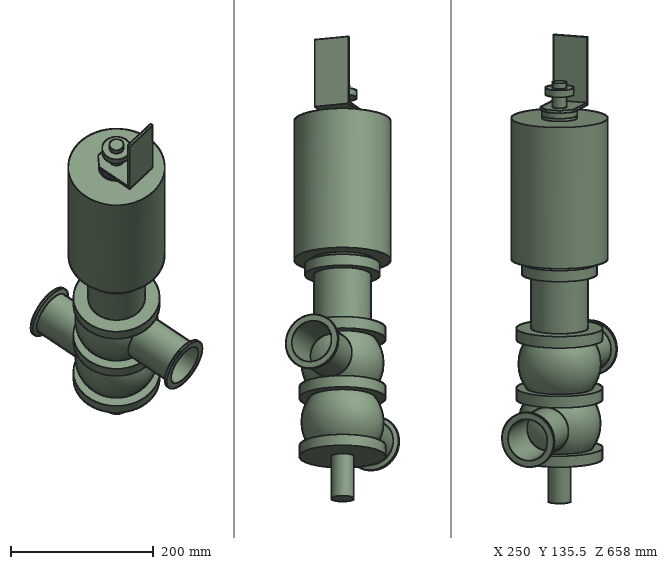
import cadquery as cq
import math

LOWER_FLANGE_BOTTOM = 61.0
LOWER_FLANGE_TOP = 77.0
MIDDLE_FLANGE_BOTTOM = 146.0
CHAMBER_PITCH = 85.5
MIDDLE_FLANGE_TOP = LOWER_FLANGE_TOP + CHAMBER_PITCH
UPPER_FLANGE_BOTTOM = MIDDLE_FLANGE_BOTTOM + CHAMBER_PITCH
UPPER_FLANGE_TOP = MIDDLE_FLANGE_TOP + CHAMBER_PITCH
COLLAR_BOTTOM = 325.0
COLLAR_TOP = 341.0
ACTUATOR_BOTTOM = 346.5
ACTUATOR_TOP = 548.5
BOSS_TOP = 552.5
PLATE_BOTTOM = 560.5
KNOB_BOTTOM = 582.0
KNOB_TOP = 592.0
ROD_TOP = 600.0
BRACKET_TOP = 658.0

STEM_DIAMETER = 32.0
FLANGE_DIAMETER = 121.0
SPHERE_DIAMETER = 116.0
NECK_DIAMETER = 80.0
COLLAR_DIAMETER = 105.0
CONE_TOP_DIAMETER = 88.0
ACTUATOR_DIAMETER = 135.5
BOSS_DIAMETER = 50.0
ROD_DIAMETER = 20.0
KNOB_DIAMETER = 40.0

PORT_REACH = 125.0
PIPE_DIAMETER = 64.0
BORE_DIAMETER = 59.0
FERRULE_DIAMETER = 77.5
FERRULE_RIM = 4.0
FERRULE_TAPER = 2.0
LOWER_PORT_HEIGHT = (LOWER_FLANGE_TOP + MIDDLE_FLANGE_BOTTOM) / 2
UPPER_PORT_HEIGHT = LOWER_PORT_HEIGHT + CHAMBER_PITCH

SEAM_ANGLE = 90

SHEET_THICKNESS = 4.0
BRACKET_WIDTH = BOSS_DIAMETER
BRACKET_RIGHT = 45.5
CORNER_CUT = 14.5


def cylinder(diameter, bottom, top):
    """Vertical cylinder on the valve axis."""
    return cq.Workplane("XY").workplane(offset=bottom).circle(diameter / 2).extrude(top - bottom)


def chamber(port_height, bottom, top):
    """Solid ball, cut flat where it meets the flanges below and above it."""
    ball_radius = SPHERE_DIAMETER / 2
    half_height = (top - bottom) / 2
    flat_radius = math.sqrt(ball_radius**2 - half_height**2)
    return (
        cq.Workplane("XZ")
        .moveTo(0, -half_height)
        .lineTo(flat_radius, -half_height)
        .threePointArc((ball_radius, 0), (flat_radius, half_height))
        .lineTo(0, half_height)
        .close()
        .revolve(360, (0, 0, 0), (0, 1, 0))
        .rotate((0, 0, 0), (0, 0, 1), SEAM_ANGLE)
        .translate((0, 0, port_height))
    )


def port_pipe(port_height, direction):
    """Pipe with a clamp ferrule, pointing to +X (direction 1) or -X (direction -1).

    Its bore ends on the ball, because the inner end of the tube lies inside the solid ball.
    """
    inner_end = SPHERE_DIAMETER / 4
    rim_start = PORT_REACH - FERRULE_RIM
    taper_start = rim_start - FERRULE_TAPER
    profile = [
        (inner_end, BORE_DIAMETER / 2),
        (inner_end, PIPE_DIAMETER / 2),
        (taper_start, PIPE_DIAMETER / 2),
        (rim_start, FERRULE_DIAMETER / 2),
        (PORT_REACH, FERRULE_DIAMETER / 2),
        (PORT_REACH, BORE_DIAMETER / 2),
    ]
    points = [(direction * x, radius) for x, radius in profile]
    pipe = cq.Workplane("XZ").polyline(points).close().revolve(360, (0, 0, 0), (1, 0, 0))
    return pipe.translate((0, 0, port_height))


def actuator_cone():
    """Short taper between the collar and the actuator cylinder."""
    return (
        cq.Workplane("XY")
        .workplane(offset=COLLAR_TOP)
        .circle(NECK_DIAMETER / 2)
        .workplane(offset=ACTUATOR_BOTTOM - COLLAR_TOP)
        .circle(CONE_TOP_DIAMETER / 2)
        .loft(ruled=True)
    )


def make_valve():
    """Stem, two ball chambers with side ports, neck, and actuator."""
    turned_sections = [
        (FLANGE_DIAMETER, LOWER_FLANGE_BOTTOM, LOWER_FLANGE_TOP),
        (FLANGE_DIAMETER, MIDDLE_FLANGE_BOTTOM, MIDDLE_FLANGE_TOP),
        (FLANGE_DIAMETER, UPPER_FLANGE_BOTTOM, UPPER_FLANGE_TOP),
        (NECK_DIAMETER, UPPER_FLANGE_TOP, COLLAR_BOTTOM),
        (COLLAR_DIAMETER, COLLAR_BOTTOM, COLLAR_TOP),
        (ACTUATOR_DIAMETER, ACTUATOR_BOTTOM, ACTUATOR_TOP),
        (BOSS_DIAMETER, ACTUATOR_TOP, BOSS_TOP),
    ]
    body = cylinder(STEM_DIAMETER, 0, LOWER_FLANGE_BOTTOM)
    body = body.union(chamber(LOWER_PORT_HEIGHT, LOWER_FLANGE_TOP, MIDDLE_FLANGE_BOTTOM))
    body = body.union(chamber(UPPER_PORT_HEIGHT, MIDDLE_FLANGE_TOP, UPPER_FLANGE_BOTTOM))
    for diameter, bottom, top in turned_sections:
        body = body.union(cylinder(diameter, bottom, top))
    body = body.union(actuator_cone())
    for port_height, direction in [(LOWER_PORT_HEIGHT, -1), (UPPER_PORT_HEIGHT, 1)]:
        body = body.union(port_pipe(port_height, direction))
    return body


def angle_bracket():
    """Flat plate with two cut corners at -X and an upright leaf at +X."""
    left = -BRACKET_WIDTH / 2
    plate = (
        cq.Workplane("XY")
        .box(BRACKET_RIGHT - left, BRACKET_WIDTH, SHEET_THICKNESS, centered=(False, True, False))
        .translate((left, 0, PLATE_BOTTOM))
        .edges("|Z and <X")
        .chamfer(CORNER_CUT)
    )
    leaf = (
        cq.Workplane("XY")
        .box(SHEET_THICKNESS, BRACKET_WIDTH, BRACKET_TOP - PLATE_BOTTOM, centered=(False, True, False))
        .translate((BRACKET_RIGHT - SHEET_THICKNESS, 0, PLATE_BOTTOM))
    )
    return plate.union(leaf)


def make_indicator():
    """Base disc, angle bracket and knobbed rod that stand on the actuator boss."""
    disc = cylinder(BOSS_DIAMETER, BOSS_TOP, PLATE_BOTTOM)
    rod = cylinder(ROD_DIAMETER, BOSS_TOP, ROD_TOP)
    knob = cylinder(KNOB_DIAMETER, KNOB_BOTTOM, KNOB_TOP)
    return disc.union(angle_bracket()).union(rod).union(knob)


valve = make_valve()
indicator = make_indicator()

result = cq.Compound.makeCompound([valve.val(), indicator.val()])